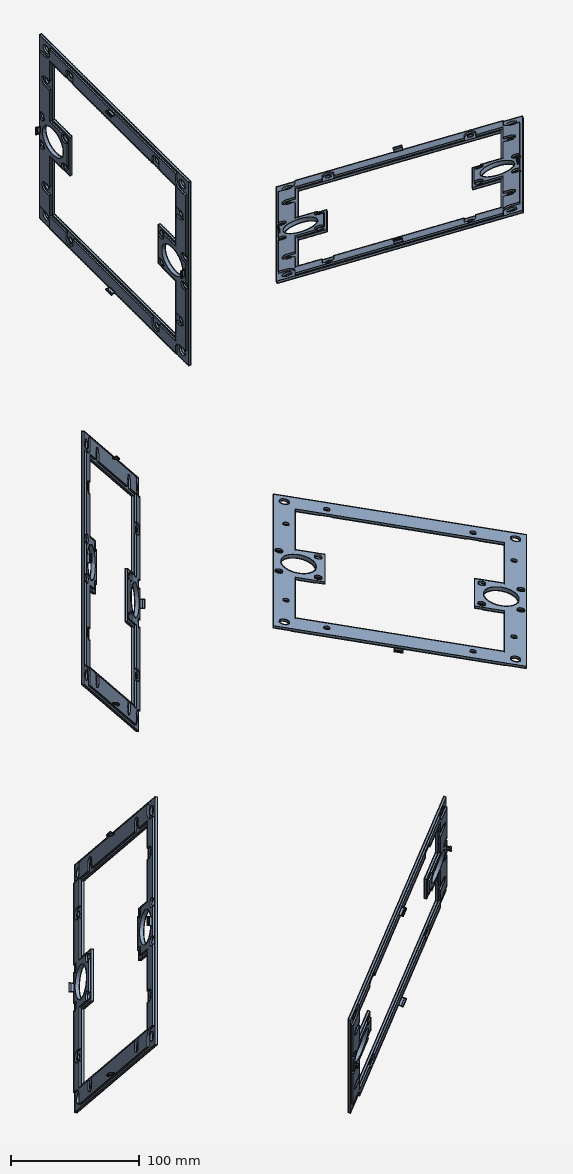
import cadquery as cq
import math

FRAME_SIZE = 200.0
FRAME_HALF = FRAME_SIZE / 2
PLATE_THICKNESS = 2.0
WINDOW_SIZE = 165.0
TOTAL_DEPTH = 7.5
BACK_Y = TOTAL_DEPTH / 2

PAD_HEIGHT = 1.5
PAD_MARGIN = 2.0
PLATE_FRONT_Y = BACK_Y - PLATE_THICKNESS
PAD_FRONT_Y = PLATE_FRONT_Y - PAD_HEIGHT

RAIL_WIDTH = (FRAME_SIZE - WINDOW_SIZE) / 2
CORNER_HOLE_OFFSET = FRAME_HALF - RAIL_WIDTH / 2
CORNER_HOLE_DIAMETER = 8.0
CORNER_LAND_RADIUS = RAIL_WIDTH / 2 - PAD_MARGIN

SCREW_ALONG_RAIL = 57.75
SCREW_ACROSS_RAIL = FRAME_HALF - 10.0
SCREW_HOLE_DIAMETER = 4.8
SCREW_LAND_WIDTH = 9.5

MOUNT_SIZE = 42.0
MOUNT_CENTRE_X = 80.0
MOUNT_BORE_DIAMETER = 28.0
MOUNT_HOLE_SPACING = 31.0
MOUNT_HOLE_DIAMETER = 6.0
MOUNT_COUNTERBORE_DIAMETER = 7.8

HOOK_WIDTH = 7.0
HOOK_THICKNESS = 0.75
HOOK_OUTER_FACE = FRAME_HALF - 2.75
HOOK_BARB = 0.75
HOOK_BARB_SLOPE = 0.5
HOOK_BARB_LENGTH = 1.75


def block(x_size, z_size, front_y, back_y, x=0.0, z=0.0):
    """Rectangular block centred on (x, z), between two Y planes."""
    return (
        cq.Workplane("XY")
        .box(x_size, back_y - front_y, z_size)
        .translate((x, (front_y + back_y) / 2, z))
    )


def cylinder(diameter, front_y, back_y, x, z):
    """Round rod along Y, centred on (x, z), between two Y planes."""
    return (
        cq.Workplane("XZ", origin=(x, back_y, z))
        .circle(diameter / 2)
        .extrude(back_y - front_y)
    )


def mirrored(x, z):
    """The four points found by changing the signs of x and z."""
    return [(sx * x, sz * z) for sx in (-1, 1) for sz in (-1, 1)]


def frame_layer(margin, front_y, back_y):
    """Square frame with two mounts, its whole outline set inward by margin."""
    outer = FRAME_SIZE - 2 * margin
    inner = WINDOW_SIZE + 2 * margin
    mount = MOUNT_SIZE - 2 * margin
    layer = block(outer, outer, front_y, back_y).cut(block(inner, inner, front_y, back_y))
    for side in (-1, 1):
        layer = layer.union(block(mount, mount, front_y, back_y, side * MOUNT_CENTRE_X))
    return layer.intersect(block(outer, outer, front_y, back_y))


def corner_land(x, z):
    """Square clearance reaching past the frame corner, rounded on its inward corner."""
    inward = CORNER_HOLE_OFFSET - CORNER_LAND_RADIUS
    size = FRAME_HALF - inward
    centre = inward + size / 2
    land = block(
        size, size, PAD_FRONT_Y, PLATE_FRONT_Y, math.copysign(centre, x), math.copysign(centre, z)
    )
    inward_edge = cq.selectors.NearestToPointSelector(
        (math.copysign(inward, x), (PAD_FRONT_Y + PLATE_FRONT_Y) / 2, math.copysign(inward, z))
    )
    return land.edges("|Y").edges(inward_edge).fillet(CORNER_LAND_RADIUS)


def screw_land(x, z):
    """U-shaped clearance around a screw hole, open toward the window."""
    window_edge = WINDOW_SIZE / 2
    length = SCREW_ACROSS_RAIL - window_edge
    middle = window_edge + length / 2
    if abs(x) > abs(z):
        run = block(length, SCREW_LAND_WIDTH, PAD_FRONT_Y, PLATE_FRONT_Y, math.copysign(middle, x), z)
    else:
        run = block(SCREW_LAND_WIDTH, length, PAD_FRONT_Y, PLATE_FRONT_Y, x, math.copysign(middle, z))
    return run.union(cylinder(SCREW_LAND_WIDTH, PAD_FRONT_Y, PLATE_FRONT_Y, x, z))


def mount_corner_land(x, z):
    """Square clearance from a window-side mount hole out to the nearby pad corner."""
    size = (MOUNT_SIZE - MOUNT_HOLE_SPACING) / 2 - PAD_MARGIN
    corner_x = x - math.copysign(size / 2, x)
    corner_z = z + math.copysign(size / 2, z)
    return block(size, size, PAD_FRONT_Y, PLATE_FRONT_Y, corner_x, corner_z)


def snap_hook():
    """Hook on the +X rail: a thin stem with an outward barb at its tip, sloped on both ends."""
    tip_y = BACK_Y - TOTAL_DEPTH
    barb_top_y = tip_y + HOOK_BARB_LENGTH
    inner_face = HOOK_OUTER_FACE - HOOK_THICKNESS
    barb_face = HOOK_OUTER_FACE + HOOK_BARB
    profile = [
        (inner_face, PLATE_FRONT_Y),
        (inner_face, tip_y),
        (HOOK_OUTER_FACE, tip_y),
        (barb_face, tip_y + HOOK_BARB_SLOPE),
        (barb_face, barb_top_y - HOOK_BARB_SLOPE),
        (HOOK_OUTER_FACE, barb_top_y),
        (HOOK_OUTER_FACE, PLATE_FRONT_Y),
    ]
    return cq.Workplane("XY").polyline(profile).close().extrude(HOOK_WIDTH / 2, both=True)


corner_points = mirrored(CORNER_HOLE_OFFSET, CORNER_HOLE_OFFSET)
screw_points = mirrored(SCREW_ALONG_RAIL, SCREW_ACROSS_RAIL) + mirrored(SCREW_ACROSS_RAIL, SCREW_ALONG_RAIL)
outer_mount_points = mirrored(MOUNT_CENTRE_X + MOUNT_HOLE_SPACING / 2, MOUNT_HOLE_SPACING / 2)
inner_mount_points = mirrored(MOUNT_CENTRE_X - MOUNT_HOLE_SPACING / 2, MOUNT_HOLE_SPACING / 2)
mount_points = outer_mount_points + inner_mount_points

pad = frame_layer(PAD_MARGIN, PAD_FRONT_Y, PLATE_FRONT_Y)
for px, pz in corner_points:
    pad = pad.cut(corner_land(px, pz))
for px, pz in screw_points:
    pad = pad.cut(screw_land(px, pz))
for px, pz in mount_points:
    pad = pad.cut(cylinder(MOUNT_COUNTERBORE_DIAMETER, PAD_FRONT_Y, PLATE_FRONT_Y, px, pz))
for px, pz in inner_mount_points:
    pad = pad.cut(mount_corner_land(px, pz))

result = frame_layer(0.0, PLATE_FRONT_Y, BACK_Y).union(pad)

for diameter, points in (
    (CORNER_HOLE_DIAMETER, corner_points),
    (SCREW_HOLE_DIAMETER, screw_points),
    (MOUNT_HOLE_DIAMETER, mount_points),
    (MOUNT_BORE_DIAMETER, [(-MOUNT_CENTRE_X, 0.0), (MOUNT_CENTRE_X, 0.0)]),
):
    for px, pz in points:
        result = result.cut(cylinder(diameter, PAD_FRONT_Y, BACK_Y, px, pz))

for turn in (0, 90, 180, 270):
    result = result.union(snap_hook().rotate((0, 0, 0), (0, 1, 0), turn))